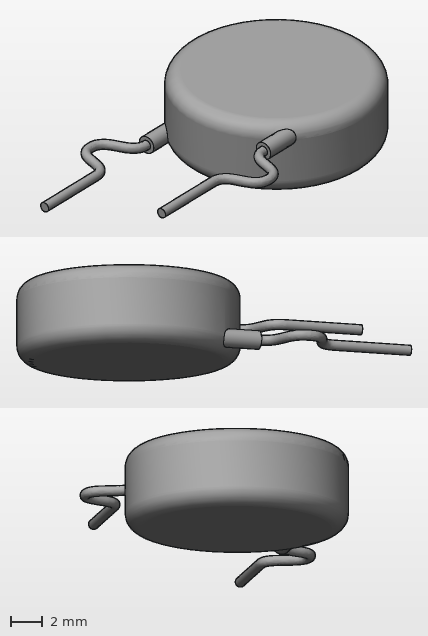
import cadquery as cq

disc_diameter = 14.0
disc_height = 5.0
edge_radius = 1.0
disc_radius = disc_diameter / 2

total_length = 24.0
total_width = 15.15
wire_diameter = 0.65
wire_radius = wire_diameter / 2
lead_offset_x = 4.75
lead_offset_z = 1.55
bend_length = 5.0

sleeve_diameter = 1.18
sleeve_length = 3.5

sleeve_end_y = -disc_radius
sleeve_start_y = sleeve_end_y + sleeve_length
bend_peak_y = sleeve_end_y - bend_length / 2
bend_end_y = sleeve_end_y - bend_length
tip_y = disc_radius - total_length
bend_peak_x = total_width / 2 - wire_radius

lead_sides = (-1, 1)


def rod_along_y(side, diameter, start_y, length):
    """Round rod on a lead's axis, running from start_y towards -Y."""
    return (
        cq.Workplane("XZ", origin=(side * lead_offset_x, start_y, side * lead_offset_z))
        .circle(diameter / 2)
        .extrude(length)
    )


def make_housing():
    """Rounded disc with two sleeves, each bored to hold its lead."""
    housing = (
        cq.Workplane("XY")
        .cylinder(disc_height, disc_radius)
        .edges()
        .fillet(edge_radius)
    )
    for side in lead_sides:
        housing = housing.union(rod_along_y(side, sleeve_diameter, sleeve_start_y, sleeve_length))
    for side in lead_sides:
        housing = housing.cut(rod_along_y(side, wire_diameter, sleeve_start_y, sleeve_length))
    return housing


def make_lead(side):
    """Wire with a straight root in the sleeve, an outward kink and a straight tip."""
    axis_x = side * lead_offset_x
    down = (0, -1)
    path = (
        cq.Workplane("XY", origin=(0, 0, side * lead_offset_z))
        .moveTo(axis_x, sleeve_start_y)
        .lineTo(axis_x, sleeve_end_y)
        .spline([(side * bend_peak_x, bend_peak_y)], tangents=[down, down], includeCurrent=True)
        .spline([(axis_x, bend_end_y)], tangents=[down, down], includeCurrent=True)
        .lineTo(axis_x, tip_y)
    )
    return (
        cq.Workplane("XZ", origin=(axis_x, sleeve_start_y, side * lead_offset_z))
        .circle(wire_radius)
        .sweep(path)
    )


housing = make_housing()
leads = [make_lead(side) for side in lead_sides]

result = cq.Compound.makeCompound([housing.val(), *[lead.val() for lead in leads]])